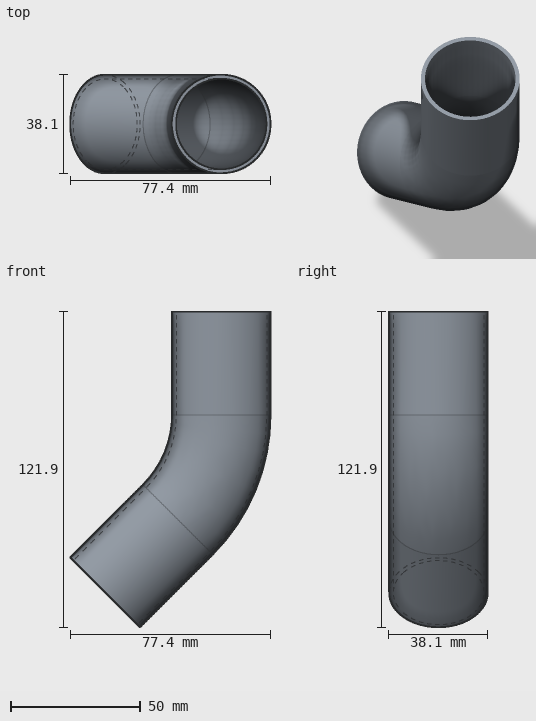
import cadquery as cq
import math

overall_height = 121.9
outer_diameter = 38.1
wall = 1.6
bend_radius = 57.3
bend_angle = 45.0

outer_radius = outer_diameter / 2
bend_sin = math.sin(math.radians(bend_angle))
bend_cos = math.cos(math.radians(bend_angle))
bend_height = (bend_radius + outer_radius) * bend_sin
leg_length = (overall_height - bend_height) / (1 + bend_cos)


def bend_point(angle):
    """Centreline point (x, z) at an angle in degrees below the start of the bend."""
    turn = math.radians(angle)
    x = -bend_radius * (1 - math.cos(turn))
    z = -bend_radius * math.sin(turn)
    return x, z


bend_end_x, bend_end_z = bend_point(bend_angle)
slanted_end = (
    bend_end_x - leg_length * bend_sin,
    bend_end_z - leg_length * bend_cos,
)
centreline = (
    cq.Workplane("XZ")
    .moveTo(0, leg_length)
    .lineTo(0, 0)
    .threePointArc(bend_point(bend_angle / 2), (bend_end_x, bend_end_z))
    .lineTo(*slanted_end)
)

result = (
    cq.Workplane("XY", origin=(0, 0, leg_length))
    .circle(outer_radius)
    .circle(outer_radius - wall)
    .sweep(centreline)
)